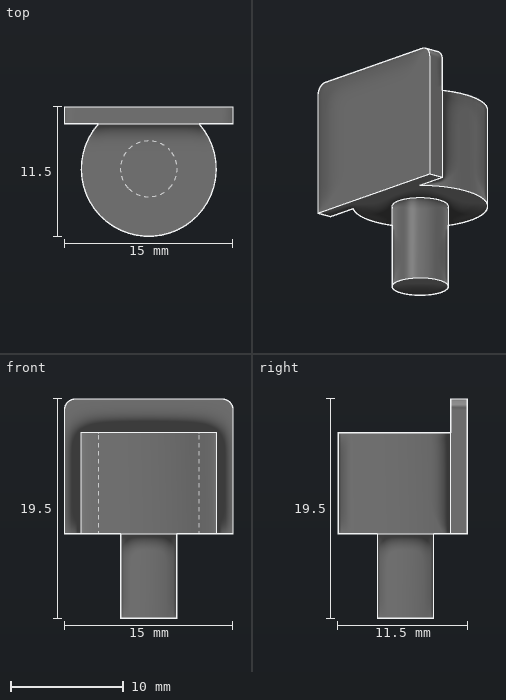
import cadquery as cq

body_diameter = 12.0
body_height = 9.0

pin_diameter = 5.0
pin_length = 7.5

plate_width = 15.0
plate_height = 12.0
plate_thickness = 1.5
plate_corner_radius = 1.0
flat_offset = 4.0


def make_body():
    """Cylinder cut off by a flat on its +Y side."""
    cylinder = cq.Workplane("XY").circle(body_diameter / 2).extrude(body_height)
    behind_flat = (
        cq.Workplane("XY")
        .box(body_diameter, body_diameter, body_height, centered=(True, False, False))
        .translate((0, flat_offset, 0))
    )
    return cylinder.cut(behind_flat)


def make_pin():
    return cq.Workplane("XY").circle(pin_diameter / 2).extrude(-pin_length)


def make_plate():
    """Plate resting on the flat, with its two top corners rounded."""
    return (
        cq.Workplane("XY")
        .box(plate_width, plate_thickness, plate_height, centered=(True, False, False))
        .translate((0, flat_offset, 0))
        .faces(">Z")
        .edges("|Y")
        .fillet(plate_corner_radius)
    )


result = make_body().union(make_pin()).union(make_plate())